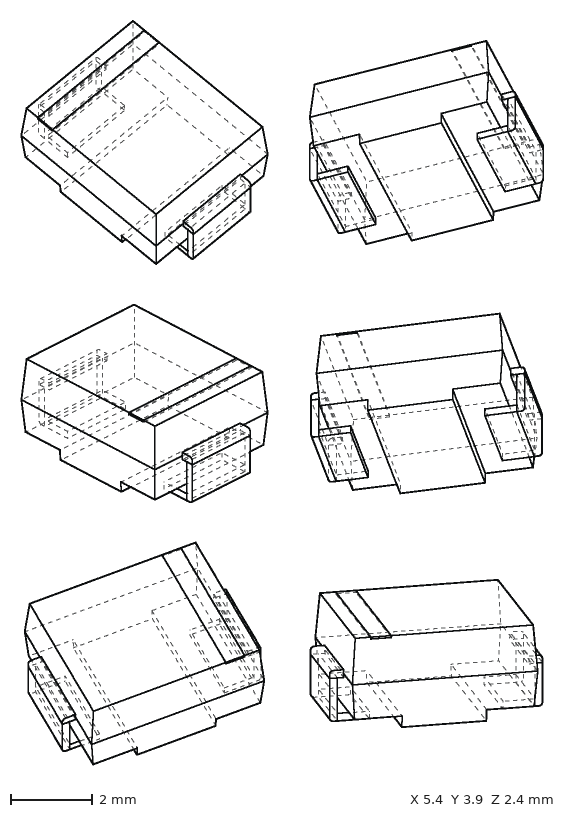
import cadquery as cq
import math

package_length = 4.7
package_width = 3.9
package_height = 2.4
parting_height = 1.225
draft_angle = 4.5

pad_length = 2.145
pad_height = 0.295

band_left = -1.86
band_length = 0.515
band_depth = 0.05

span = 5.4
lead_width = 2.0
lead_thickness = 0.2
lead_top = 1.32
bend_radius = 0.095
foot_reach = 1.005
arm_bottom = lead_top - lead_thickness


def block(x_min, x_max, width, z_min, z_max):
    """Box centred on Y, given by its X and Z limits."""
    return cq.Workplane("XY").box(
        x_max - x_min, width, z_max - z_min, centered=(False, True, False)
    ).translate((x_min, 0, z_min))


def tapered_half(height):
    """Package half that narrows away from the parting plane; negative height goes down."""
    inset = abs(height) * math.tan(math.radians(draft_angle))
    return (
        cq.Workplane("XY", origin=(0, 0, parting_height))
        .rect(package_length, package_width)
        .workplane(offset=height)
        .rect(package_length - 2 * inset, package_width - 2 * inset)
        .loft(ruled=True)
    )


def make_upper_and_band():
    """Upper half with the band groove, and the band whose ends follow the drafted sides."""
    blank = tapered_half(package_height - parting_height)
    groove = block(
        band_left, band_left + band_length, package_width, package_height - band_depth, package_height
    )
    return blank.cut(groove), blank.intersect(groove)


def make_lower_half():
    """Lower half, raised at both ends so that only the pad reaches the bottom plane."""
    lower = tapered_half(-parting_height)
    for x_min, x_max in ((-span / 2, -pad_length / 2), (pad_length / 2, span / 2)):
        lower = lower.cut(block(x_min, x_max, package_width, 0, pad_height))
    return lower


def make_arm():
    """Left arm, rounded at its outer top edge and ending on the package wall."""
    arm = block(-span / 2, -package_length / 2 + lead_thickness, lead_width, arm_bottom, lead_top)
    arm = arm.edges("<X and >Z").fillet(bend_radius)
    return arm.cut(tapered_half(package_height - parting_height)).cut(tapered_half(-parting_height))


def make_leg():
    """Left leg below the arm, rounded at its outer bottom edge."""
    leg = block(-span / 2, -span / 2 + lead_thickness, lead_width, 0, arm_bottom)
    return leg.edges("<X and <Z").fillet(bend_radius)


def make_foot():
    """Left foot, running inward from the leg under the package."""
    return block(-span / 2 + lead_thickness, -span / 2 + foot_reach, lead_width, 0, lead_thickness)


upper_half, band = make_upper_and_band()
lower_half = make_lower_half()

arms = []
legs = []
feet = []
for turn in (0, 180):
    for pieces, make_piece in ((arms, make_arm), (legs, make_leg), (feet, make_foot)):
        pieces.append(make_piece().rotate((0, 0, 0), (0, 0, 1), turn).solids().val())

result = cq.Compound.makeCompound(
    [upper_half.solids().val(), lower_half.solids().val(), band.solids().val(), *arms, *legs, *feet]
)